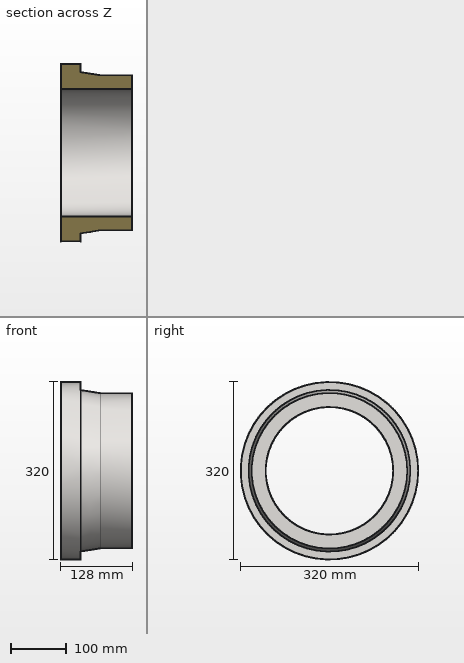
import cadquery as cq

flange_diameter = 320.0
flange_thickness = 35.2
taper_length = 35.2
taper_start_diameter = 291.2
neck_diameter = 280.0
bore_diameter = 229.0
total_length = 128.0

taper_end = flange_thickness + taper_length

half_section = (
    cq.Workplane("XY")
    .moveTo(0, bore_diameter / 2)
    .lineTo(0, flange_diameter / 2)
    .lineTo(flange_thickness, flange_diameter / 2)
    .lineTo(flange_thickness, taper_start_diameter / 2)
    .lineTo(taper_end, neck_diameter / 2)
    .lineTo(total_length, neck_diameter / 2)
    .lineTo(total_length, bore_diameter / 2)
    .close()
)

result = half_section.revolve(360, (0, 0, 0), (1, 0, 0))